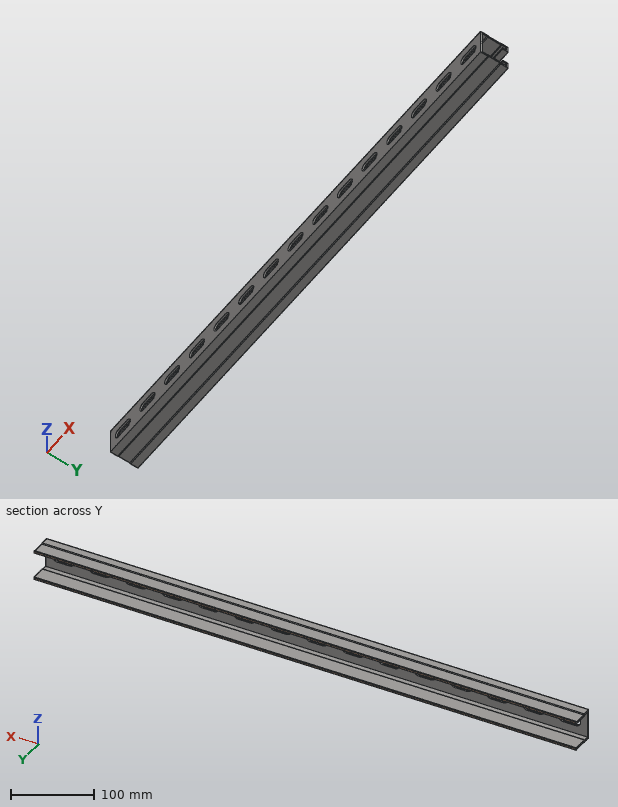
import cadquery as cq

length = 750.0
side = 41.0
half = side / 2
thickness = 2.6

mouth_width = 22.5
lip_depth = 8.0

groove_depth = 1.0
groove_width = 19.5
groove_slope_run = 1.5
groove_inner_widening = 1.5

slot_count = 15
slot_pitch = length / slot_count
slot_length = 30.0
slot_height = 13.5


def bar(y_min, y_max, z_min, z_max):
    """Full-length rectangular bar with the given Y and Z limits."""
    return (
        cq.Workplane("XY")
        .box(length, y_max - y_min, z_max - z_min, centered=(True, False, False))
        .translate((0, y_min, z_min))
    )


def grooved_line(rim, height):
    """(Y, Z) points of a flange surface at the given height, dipping between -rim and +rim."""
    floor = rim - groove_slope_run
    floor_height = height - groove_depth
    return [
        (-half, height),
        (-rim, height),
        (-floor, floor_height),
        (floor, floor_height),
        (rim, height),
        (half, height),
    ]


def flange():
    """Upper flange, pressed inward along its groove."""
    rim = groove_width / 2
    outer = grooved_line(rim, half)
    inner = grooved_line(rim + groove_inner_widening, half - thickness)
    profile = cq.Workplane("YZ").polyline(outer + inner[::-1]).close()
    return profile.extrude(length / 2, both=True)


def lip():
    """Upper lip: a front wall running toward the mouth, then turned back into the channel."""
    mouth_edge = mouth_width / 2
    front = bar(half - thickness, half, mouth_edge, half)
    turned_edge = bar(half - lip_depth, half, mouth_edge, mouth_edge + thickness)
    return front.union(turned_edge)


def web():
    """Back wall with its row of slots."""
    slots = (
        cq.Workplane("XZ", origin=(0, -half + thickness, 0))
        .rarray(slot_pitch, 7.5, slot_count, 1)
        .slot2D(slot_length, slot_height)
        .extrude(thickness)
    )
    return bar(-half, -half + thickness, -half, half).cut(slots)


upper_side = flange().union(lip())
lower_side = upper_side.mirror("XY")
result = web().union(upper_side).union(lower_side)